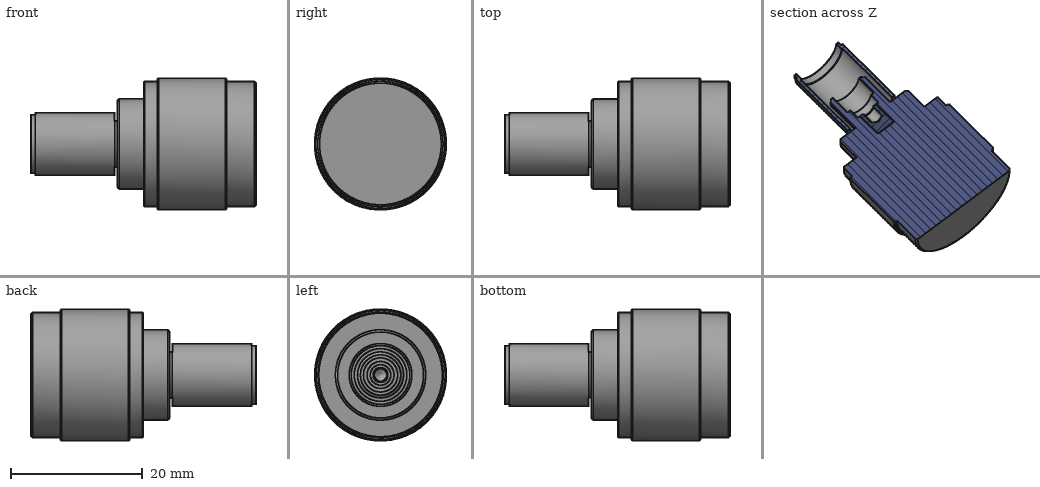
import cadquery as cq

overall_length = 34.15

ferrule_diameter = 9.53
ferrule_bore = 8.35
lip_diameter = 8.9
lip_bore = 8.0
lip_length = 0.65
lip_bore_depth = 1.23
ferrule_length = 12.7

barrel_start = 6.83
barrel_diameter = 7.0
barrel_chamfer = 0.45
shoulder_start = 13.08
shoulder_diameter = 13.73
shoulder_chamfer = 0.35
collar_start = 17.1
collar_diameter = 19.02
collar_chamfer = 0.15
grip_start = 19.15
grip_end = 29.68
grip_diameter = 20.0
grip_chamfer = 0.2
end_chamfer = 0.27

cable_bore = 5.2
cable_bore_depth = 3.4
inner_bore = 4.1
inner_bore_depth = 1.7

pin_diameter = 3.1
pin_length = 4.1
solder_hole_diameter = 1.9
solder_hole_depth = 2.05
solder_cone_depth = 0.55
solder_chamfer = 0.17

inner_bore_start = barrel_start + cable_bore_depth
pin_start = inner_bore_start + inner_bore_depth


def cylinder(start, end, diameter):
    """Solid cylinder on the X axis between two X positions."""
    return cq.Workplane("YZ", origin=(start, 0, 0)).circle(diameter / 2).extrude(end - start)


def make_ferrule():
    """Thin crimp tube with a narrower lip and a tighter bore at its open end."""
    ferrule = cylinder(0, lip_length, lip_diameter)
    ferrule = ferrule.union(cylinder(lip_length, ferrule_length, ferrule_diameter))
    ferrule = ferrule.cut(cylinder(0, lip_bore_depth, lip_bore))
    return ferrule.cut(cylinder(lip_bore_depth, ferrule_length, ferrule_bore))


def make_housing():
    """Barrel, shoulder, collar and grip in one stepped turning."""
    barrel = cylinder(barrel_start, shoulder_start, barrel_diameter).faces("<X").chamfer(barrel_chamfer)
    shoulder = cylinder(shoulder_start, collar_start, shoulder_diameter).faces("<X").chamfer(shoulder_chamfer)
    collar = cylinder(collar_start, overall_length, collar_diameter)
    collar = collar.faces("<X").chamfer(collar_chamfer).faces(">X").chamfer(end_chamfer)
    grip = cylinder(grip_start, grip_end, grip_diameter).faces("<X or >X").chamfer(grip_chamfer)
    housing = barrel.union(shoulder).union(collar).union(grip)

    housing = housing.cut(cylinder(barrel_start, inner_bore_start, cable_bore))
    housing = housing.cut(cylinder(inner_bore_start, pin_start, inner_bore))
    return housing.cut(cylinder(pin_start, pin_start + pin_length, pin_diameter))


def make_pin():
    """Round pin with a chamfered, drill-pointed solder hole in its rear face."""
    hole_radius = solder_hole_diameter / 2
    hole_end = pin_start + solder_hole_depth
    hole = (
        cq.Workplane("XY")
        .moveTo(pin_start, 0)
        .lineTo(pin_start, hole_radius + solder_chamfer)
        .lineTo(pin_start + solder_chamfer, hole_radius)
        .lineTo(hole_end, hole_radius)
        .lineTo(hole_end + solder_cone_depth, 0)
        .close()
        .revolve(360, (0, 0, 0), (1, 0, 0))
    )
    return cylinder(pin_start, pin_start + pin_length, pin_diameter).cut(hole)


ferrule = make_ferrule()
housing = make_housing()
pin = make_pin()

result = cq.Compound.makeCompound([ferrule.val(), housing.val(), pin.val()])